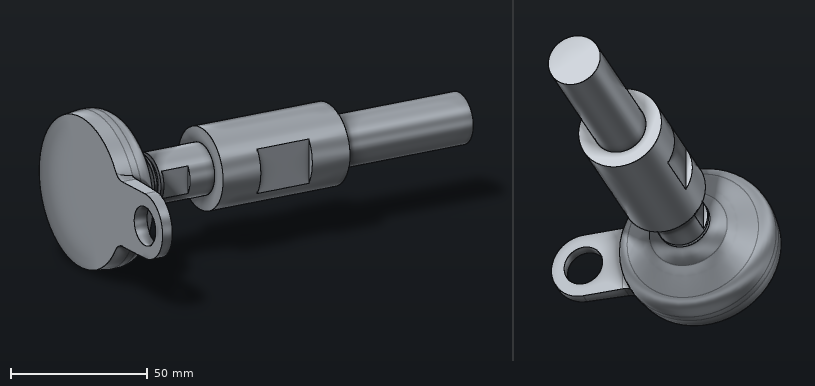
import cadquery as cq
import math

total_length = 163.0

foot_radius = 30.0
sole_radius = 29.2
sole_height = 6.0
shoulder_start = 9.0
shoulder_end = 15.8
shoulder_end_radius = 25.3
shoulder_arc_radius = 7.3
flare_top = 21.4
flare_top_radius = 15.0
flare_arc_radius = 40.8
crown_arc_radius = 13.0
foot_top = 26.2
foot_top_radius = 9.3

lug_center = 45.5
lug_radius = 12.5
lug_hole_radius = 7.5
lug_tip_height = 4.2
lug_root_fillet = 5.0

rod_diameter = 20.0
rod_radius = rod_diameter / 2
rod_bottom = 28.5
neck_radius = 8.2
rim_height = 0.7
rod_flats_width = 17.0
rod_flats_bottom = 29.8
rod_flats_length = 11.2

sleeve_radius = 16.0
sleeve_bottom = 51.7
sleeve_length = 54.6
sleeve_flats_width = 26.9
sleeve_flats_length = 22.2


def cylinder(radius, bottom, length):
    """Cylinder on the Y axis, rising from the given Y."""
    return cq.Workplane("XZ", origin=(0, bottom, 0)).circle(radius).extrude(-length)


def cut_flats(body, radius, width, bottom, length):
    """Cut two flats, facing -X and +X, a given width apart."""
    middle = bottom + length / 2
    blank = cq.Workplane("XY").box(4 * radius, length, 4 * radius)
    core = cq.Workplane("XY").box(width, length, 4 * radius)
    return body.cut(blank.cut(core).translate((0, middle, 0)))


def make_lug():
    """Rounded lug with filleted root and a top face sloping down to its tip."""
    center_z = lug_radius + lug_root_fillet
    center_distance = sole_radius + lug_root_fillet
    center_x = math.sqrt(center_distance**2 - center_z**2)
    contact_x = center_x * sole_radius / center_distance
    contact_z = center_z * sole_radius / center_distance
    middle_angle = (math.atan2(center_z, center_x) + math.pi / 2) / 2
    middle_x = center_x - lug_root_fillet * math.cos(middle_angle)
    middle_z = center_z - lug_root_fillet * math.sin(middle_angle)
    tip_x = lug_center + lug_radius

    plan = (
        cq.Workplane("XZ")
        .moveTo(0, 0)
        .lineTo(contact_x, contact_z)
        .threePointArc((middle_x, middle_z), (center_x, lug_radius))
        .lineTo(lug_center, lug_radius)
        .threePointArc((tip_x, 0), (lug_center, -lug_radius))
        .lineTo(center_x, -lug_radius)
        .threePointArc((middle_x, -middle_z), (contact_x, -contact_z))
        .close()
        .extrude(-foot_top)
    )
    side = (
        cq.Workplane("XY")
        .polyline([(0, 0), (tip_x, 0), (tip_x, lug_tip_height), (foot_radius, sole_height), (0, sole_height)])
        .close()
        .extrude(foot_radius, both=True)
    )
    return plan.intersect(side)


def make_foot():
    """Turned bell-shaped foot with its lug."""
    bell = (
        cq.Workplane("XY")
        .moveTo(0, 0)
        .lineTo(sole_radius, 0)
        .lineTo(foot_radius, sole_height)
        .lineTo(foot_radius, shoulder_start)
        .radiusArc((shoulder_end_radius, shoulder_end), -shoulder_arc_radius)
        .radiusArc((flare_top_radius, flare_top), flare_arc_radius)
        .radiusArc((foot_top_radius, foot_top), -crown_arc_radius)
        .lineTo(0, foot_top)
        .close()
        .revolve(360, (0, 0, 0), (0, 1, 0))
    )
    lug_hole = cylinder(lug_hole_radius, 0, foot_top).translate((lug_center, 0, 0))
    return bell.union(make_lug()).cut(lug_hole)


def make_rod():
    """Plain rod with wrench flats, a conical neck and a sharp rim just above the foot."""
    rod = (
        cq.Workplane("XY")
        .moveTo(0, foot_top)
        .lineTo(foot_top_radius, foot_top)
        .lineTo(rod_radius, foot_top + rim_height)
        .lineTo(neck_radius, rod_bottom)
        .lineTo(rod_radius, rod_bottom)
        .lineTo(rod_radius, total_length)
        .lineTo(0, total_length)
        .close()
        .revolve(360, (0, 0, 0), (0, 1, 0))
    )
    return cut_flats(rod, rod_radius, rod_flats_width, rod_flats_bottom, rod_flats_length)


def make_sleeve():
    """Sleeve around the rod with wrench flats at mid-length."""
    sleeve = cylinder(sleeve_radius, sleeve_bottom, sleeve_length)
    sleeve = sleeve.cut(cylinder(rod_radius, sleeve_bottom, sleeve_length))
    flats_bottom = sleeve_bottom + (sleeve_length - sleeve_flats_length) / 2
    return cut_flats(sleeve, sleeve_radius, sleeve_flats_width, flats_bottom, sleeve_flats_length)


foot = make_foot()
rod = make_rod()
sleeve = make_sleeve()

result = cq.Compound.makeCompound([foot.val(), rod.val(), sleeve.val()])